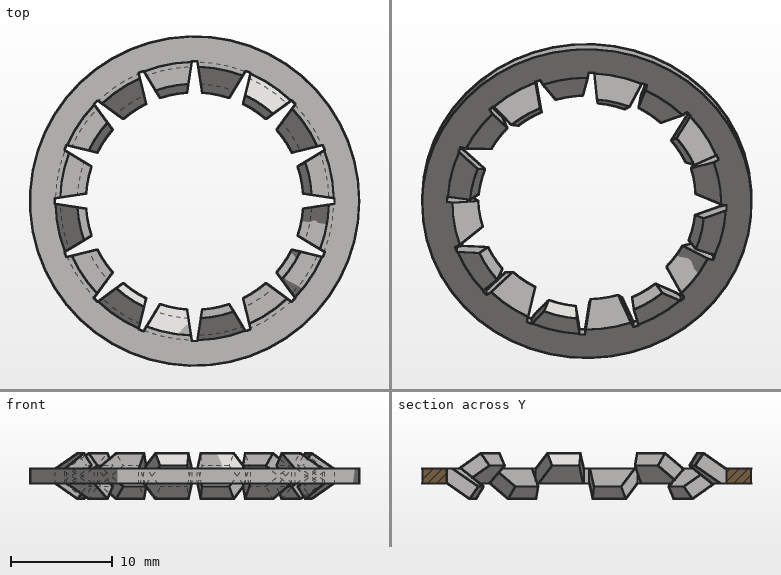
import cadquery as cq
import math

outer_radius = 16.2
sheet_thickness = 1.5
overall_height = 4.5
bend_radius = 13.45
bend_angle = math.radians(35.0)
tooth_count = 16

gap_root_radius = 13.73
gap_root_width = 0.52
gap_mouth_radius = 10.65
gap_mouth_width = 1.45

tooth_pitch = 360.0 / tooth_count
half_thickness = sheet_thickness / 2
half_height = overall_height / 2

bend_offset = half_thickness * math.tan(bend_angle / 2)
leading_bend_radius = bend_radius + bend_offset
trailing_bend_radius = bend_radius - bend_offset

tip_far_radius = leading_bend_radius - (half_height - half_thickness) / math.tan(bend_angle)
tip_near_radius = tip_far_radius - sheet_thickness * math.sin(bend_angle)
tip_near_height = half_height - sheet_thickness * math.cos(bend_angle)


def make_rim():
    rim = cq.Workplane("XY").workplane(offset=-half_thickness)
    return rim.circle(outer_radius).circle(gap_root_radius).extrude(sheet_thickness)


def make_tooth(start_angle, side):
    """One pitch of the bent sheet; side is 1 for a tooth bent up, -1 for down."""
    section = [
        (gap_root_radius, -side * half_thickness),
        (gap_root_radius, side * half_thickness),
        (leading_bend_radius, side * half_thickness),
        (tip_far_radius, side * half_height),
        (tip_near_radius, side * tip_near_height),
        (trailing_bend_radius, -side * half_thickness),
    ]
    tooth = cq.Workplane("XZ").polyline(section).close()
    tooth = tooth.revolve(tooth_pitch, (0, 0), (0, 1))
    return tooth.rotate((0, 0, 0), (0, 0, 1), start_angle)


def make_gap(angle):
    """Upright wedge, continued inward at the same taper to clear the tooth tips."""
    taper = (gap_mouth_width - gap_root_width) / (gap_root_radius - gap_mouth_radius)
    inner_radius = gap_mouth_radius - sheet_thickness
    inner_width = gap_root_width + taper * (gap_root_radius - inner_radius)
    outline = [
        (gap_root_radius, -gap_root_width / 2),
        (gap_root_radius, gap_root_width / 2),
        (inner_radius, inner_width / 2),
        (inner_radius, -inner_width / 2),
    ]
    gap = cq.Workplane("XY").polyline(outline).close().extrude(overall_height, both=True)
    return gap.rotate((0, 0, 0), (0, 0, 1), angle)


result = make_rim()
for index in range(tooth_count):
    bend_side = 1 if index % 2 == 0 else -1
    tooth_start = index * tooth_pitch
    tooth = make_tooth(tooth_start, bend_side)
    tooth = tooth.cut(make_gap(tooth_start)).cut(make_gap(tooth_start + tooth_pitch))
    result = result.union(tooth)